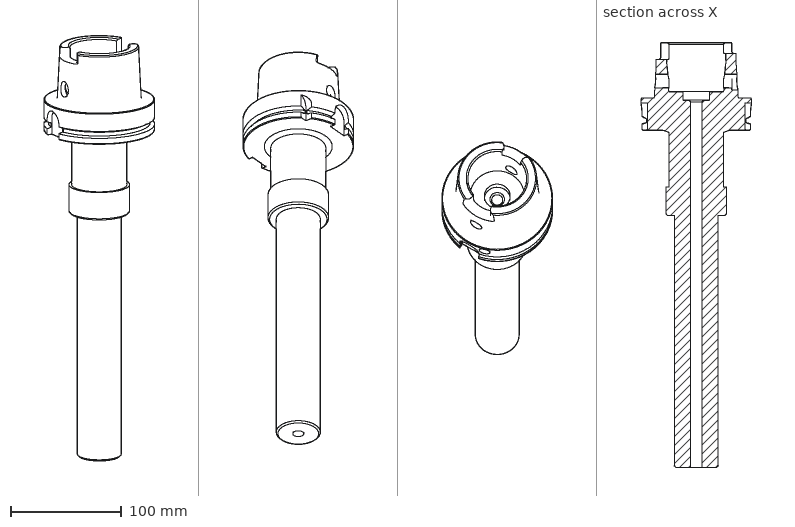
import cadquery as cq
import math

total_height = 383.0
taper_height = 49.8
flange_height = 29.0
flange_top = total_height - taper_height
flange_bottom = flange_top - flange_height
collar_top = 253.0
collar_bottom = 227.0

tail_radius = 40.0 / 2
collar_radius = 54.8 / 2
neck_radius = 49.8 / 2
flange_radius = 100.0 / 2
taper_base_radius = 38.0
taper_top_radius = 35.5
end_chamfer = 1.5
rim_chamfer = 1.0
flange_edge_chamfer = 0.8
root_fillet = 1.0
neck_shoulder_radius = 30.5
neck_shoulder_height = 2.0

groove_mouth_top = 316.5
groove_mouth_bottom = 310.0
groove_upper_flare = 2.0
groove_lower_flare = 1.0
groove_floor_radius = 46.0

socket_radius = 53.0 / 2
socket_depth = 44.0
socket_floor = total_height - socket_depth
socket_mouth_chamfer = 1.5
socket_floor_radius = 49.0 / 2
socket_straight_depth = 18.8
counterbore_radius = 23.5 / 2
counterbore_depth = 7.5
coolant_radius = 10.0 / 2
coolant_chamfer = 1.5

cross_hole_radius = 12.0 / 2
cross_hole_z = 348.5
cross_mouth_radius = 13.0 / 2
cross_mouth_z = 347.0
cross_mouth_floor = 32.0

slot_half_width = 20.0 / 2
slot_lip_radius = 5.5
slot_lip_y = 32.0
front_slot_depth = 9.5
back_slot_depth = 15.0
slot_floor_fillet = 2.0

keyway_radius = 20.0 / 2
keyway_top = 328.5
keyway_floor = 44.0
notch_wall_x = -31.5
notch_floor = 32.0

chip_hole_radius = 10.0 / 2
chip_hole_floor = 45.2
chip_hole_z = 326.5
chip_hole_angle = 18


def turned_body():
    return (
        cq.Workplane("XZ")
        .moveTo(0, 0)
        .lineTo(tail_radius - end_chamfer, 0)
        .lineTo(tail_radius, end_chamfer)
        .lineTo(tail_radius, collar_bottom)
        .lineTo(collar_radius - end_chamfer, collar_bottom)
        .lineTo(collar_radius, collar_bottom + end_chamfer)
        .lineTo(collar_radius, collar_top)
        .lineTo(neck_radius, collar_top)
        .lineTo(neck_radius, flange_bottom - neck_shoulder_height)
        .lineTo(neck_shoulder_radius, flange_bottom)
        .lineTo(flange_radius - flange_edge_chamfer, flange_bottom)
        .lineTo(flange_radius, flange_bottom + flange_edge_chamfer)
        .lineTo(flange_radius, groove_mouth_bottom)
        .lineTo(groove_floor_radius, groove_mouth_bottom + groove_lower_flare)
        .lineTo(groove_floor_radius, groove_mouth_top - groove_upper_flare)
        .lineTo(flange_radius, groove_mouth_top)
        .lineTo(flange_radius, flange_top - flange_edge_chamfer)
        .lineTo(flange_radius - flange_edge_chamfer, flange_top)
        .lineTo(taper_base_radius + root_fillet, flange_top)
        .radiusArc((taper_base_radius, flange_top + root_fillet), root_fillet)
        .lineTo(taper_top_radius, total_height - rim_chamfer)
        .lineTo(taper_top_radius - rim_chamfer, total_height)
        .lineTo(0, total_height)
        .close()
        .revolve(360, (0, 0, 0), (0, 1, 0))
    )


def stepped_bore():
    cone_top = total_height - socket_straight_depth
    counterbore_floor = socket_floor - counterbore_depth
    return (
        cq.Workplane("XZ")
        .moveTo(0, 0)
        .lineTo(coolant_radius, 0)
        .lineTo(coolant_radius, counterbore_floor - coolant_chamfer)
        .lineTo(coolant_radius + coolant_chamfer, counterbore_floor)
        .lineTo(counterbore_radius, counterbore_floor)
        .lineTo(counterbore_radius, socket_floor)
        .lineTo(socket_floor_radius, socket_floor)
        .lineTo(socket_radius, cone_top)
        .lineTo(socket_radius, total_height - socket_mouth_chamfer)
        .lineTo(socket_radius + socket_mouth_chamfer, total_height)
        .lineTo(0, total_height)
        .close()
        .revolve(360, (0, 0, 0), (0, 1, 0))
    )


def cross_holes():
    through = (
        cq.Workplane("XZ", origin=(0, 0, cross_hole_z))
        .circle(cross_hole_radius)
        .extrude(flange_radius, both=True)
    )
    mouth = (
        cq.Workplane("XZ", origin=(0, -cross_mouth_floor, cross_mouth_z))
        .circle(cross_mouth_radius)
        .extrude(flange_radius - cross_mouth_floor)
    )
    return through.union(mouth)


def rim_slot(depth, direction):
    """Slot through the rim with rounded outer corners; direction is +1 for +Y, -1 for -Y."""
    lip_x = slot_half_width + slot_lip_radius
    lip_centre_y = slot_lip_y - slot_lip_radius
    middle = slot_lip_radius * math.sqrt(0.5)
    slot_floor = total_height - depth
    slot = (
        cq.Workplane("XY", origin=(0, 0, slot_floor))
        .moveTo(-slot_half_width, 0)
        .lineTo(-slot_half_width, lip_centre_y)
        .threePointArc((-lip_x + middle, lip_centre_y + middle), (-lip_x, slot_lip_y))
        .lineTo(-flange_radius, slot_lip_y)
        .lineTo(-flange_radius, flange_radius)
        .lineTo(flange_radius, flange_radius)
        .lineTo(flange_radius, slot_lip_y)
        .lineTo(lip_x, slot_lip_y)
        .threePointArc((lip_x - middle, lip_centre_y + middle), (slot_half_width, lip_centre_y))
        .lineTo(slot_half_width, 0)
        .close()
        .extrude(depth)
    )
    wall_feet = cq.selectors.BoxSelector(
        (-flange_radius + slot_floor_fillet, slot_floor_fillet, slot_floor - slot_floor_fillet),
        (flange_radius - slot_floor_fillet, slot_lip_y + slot_floor_fillet, slot_floor + slot_floor_fillet),
    )
    slot = slot.edges(wall_feet).fillet(slot_floor_fillet)
    if direction < 0:
        slot = slot.rotate((0, 0, 0), (0, 0, 1), 180)
    return slot


def keyway(centre_x, floor, direction):
    """Round-topped cut up from the flange underside, with a flat floor at |Y| = floor."""
    arc_centre = keyway_top - keyway_radius
    length = flange_radius
    y_centre = direction * (floor + length / 2)
    round_top = (
        cq.Workplane("XZ", origin=(centre_x, y_centre, arc_centre))
        .circle(keyway_radius)
        .extrude(length / 2, both=True)
    )
    straight_height = arc_centre - flange_bottom
    straight = (
        cq.Workplane("XY")
        .box(2 * keyway_radius, length, straight_height)
        .translate((centre_x, y_centre, flange_bottom + straight_height / 2))
    )
    return round_top.union(straight)


def chip_hole():
    return (
        cq.Workplane("XZ", origin=(0, flange_radius + chip_hole_radius, chip_hole_z))
        .circle(chip_hole_radius)
        .extrude(flange_radius + chip_hole_radius - chip_hole_floor)
        .rotate((0, 0, 0), (0, 0, 1), chip_hole_angle)
    )


result = (
    turned_body()
    .cut(stepped_bore())
    .cut(cross_holes())
    .cut(rim_slot(front_slot_depth, -1))
    .cut(rim_slot(back_slot_depth, 1))
    .cut(keyway(0, keyway_floor, -1))
    .cut(keyway(0, keyway_floor, 1))
    .cut(keyway(notch_wall_x - keyway_radius, notch_floor, -1))
    .cut(chip_hole())
)